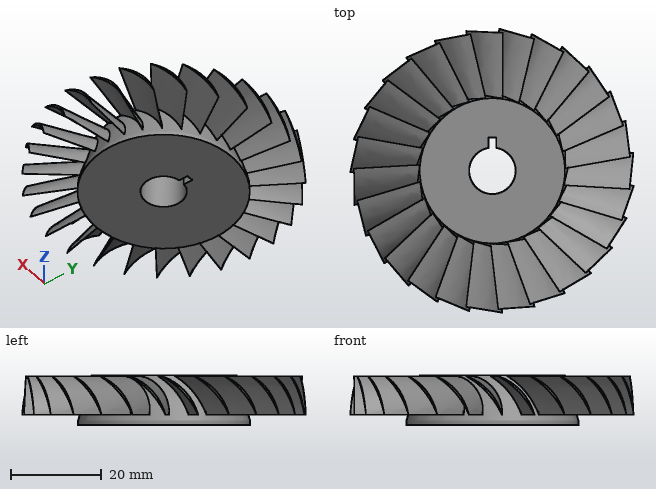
import cadquery as cq
import math

hub_height = 11.0
rim_height = 1.0
rim_radius = 38.0 / 2
mean_cone_radius = 35.0 / 2
hub_top_radius = 2 * mean_cone_radius - rim_radius

bore_diameter = 10.2
key_width = 1.7
key_reach = 7.3

blade_count = 27
blade_bottom = 2.25
blade_top = 10.85
top_edge_x = 2.25
root_bottom_x = -4.0
tip_bottom_x = -5.75
root_distance = 15.05
tip_distance = 30.55
tip_tilt = 2.7
root_bulges = (1.0, 2.0)
tip_bulges = (0.95, 1.45)


def make_hub():
    profile = [
        (0, 0),
        (rim_radius, 0),
        (rim_radius, rim_height),
        (hub_top_radius, hub_height),
        (0, hub_height),
    ]
    return cq.Workplane("XZ").polyline(profile).close().revolve(360, (0, 0), (0, 1))


def blade_section(distance, tilt, bottom_x, bulges):
    """Lens between two arcs that share their ends, on an upright plane facing +Y."""
    turn = math.radians(tilt)
    plane = cq.Plane(
        origin=(0, distance, 0),
        xDir=(-math.cos(turn), math.sin(turn), 0),
        normal=(math.sin(turn), math.cos(turn), 0),
    )
    top = cq.Vector(-top_edge_x / math.cos(turn), blade_top)
    bottom = cq.Vector(-bottom_x / math.cos(turn), blade_bottom)
    middle = (top + bottom) / 2
    chord = (bottom - top).normalized()
    across = cq.Vector(-chord.y, chord.x)
    inner, outer = [(middle + across * bulge).toTuple()[:2] for bulge in bulges]
    start = top.toTuple()[:2]
    end = bottom.toTuple()[:2]
    sketch = cq.Workplane(plane).moveTo(*start).threePointArc(outer, end)
    return sketch.threePointArc(inner, start).wire().val()


def make_blade():
    root = blade_section(root_distance, 0, root_bottom_x, root_bulges)
    tip = blade_section(tip_distance, tip_tilt, tip_bottom_x, tip_bulges)
    return cq.Solid.makeLoft([root, tip], True)


def make_bore():
    bore = cq.Workplane("XY").circle(bore_diameter / 2).extrude(hub_height)
    keyway = cq.Workplane("XY").rect(key_width, key_reach).extrude(hub_height)
    return bore.union(keyway.translate((0, key_reach / 2, 0)))


blade = make_blade()
blade_pitch = 360 / blade_count
blades = [
    blade.rotate(cq.Vector(0, 0, 0), cq.Vector(0, 0, 1), number * blade_pitch)
    for number in range(blade_count)
]
wheel = make_hub().val().fuse(*blades)
result = cq.Workplane("XY").newObject([wheel]).cut(make_bore())